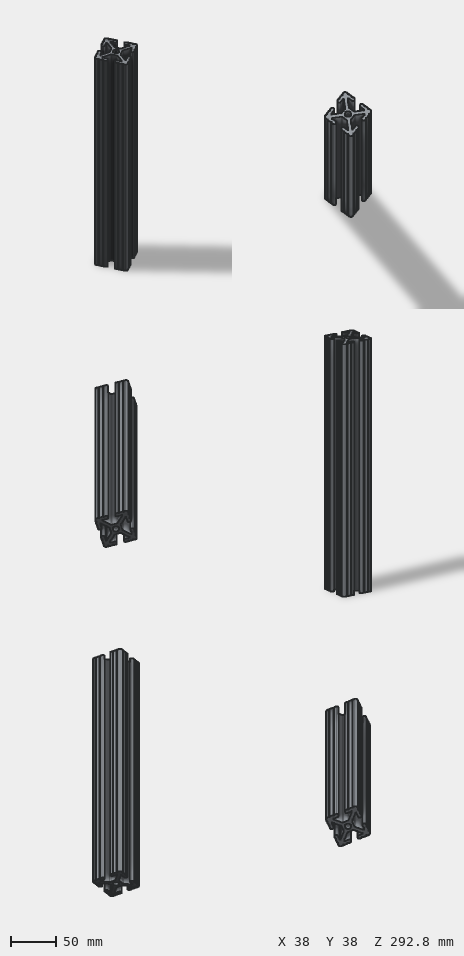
import cadquery as cq

length = 292.8
side = 38.0
half = side / 2
corner_radius = 2.5

bore_diameter = 6.7

slot_opening = 8.2
lip_thickness = 4.0
pocket_width = 22.2
core_width = 13.0
web_offset = 3.0
lip_radius = 1.8
core_radius = 1.8

groove_positions = (8.8, 14.0)
groove_width = 1.2
groove_depth = 1.0

opening_half = slot_opening / 2
pocket_half = pocket_width / 2
core_half = core_width / 2
lip_inner = half - lip_thickness


def extruded(outline):
    """Close an outline and extrude it over the full length."""
    return outline.close().extrude(length)


def four_sides(cutter):
    """Repeat a cutter made for the +Y side on all four sides."""
    return [cutter.rotate((0, 0, 0), (0, 0, 1), 90 * turn) for turn in range(4)]


def slot_cutter():
    """T-slot with an undercut pocket whose floor slopes along the diagonal webs."""
    right_side = [
        (core_half - web_offset, core_half),
        (pocket_half, pocket_half + web_offset),
        (pocket_half, lip_inner),
        (opening_half, lip_inner),
        (opening_half, half),
    ]
    left_side = [(-x, y) for x, y in reversed(right_side)]
    return extruded(cq.Workplane("XY").polyline(right_side + left_side))


def groove_cutter(position):
    """V-groove centred at the given X on the +Y face."""
    outline = cq.Workplane("XY").polyline([
        (position - groove_width / 2, half),
        (position, half - groove_depth),
        (position + groove_width / 2, half),
    ])
    return extruded(outline)


def edges_at(body, corner_x, corner_y):
    """Vertical edges at all eight symmetric copies of one section corner."""
    tolerance = 0.03

    def matches(edge):
        centre = edge.Center()
        places = sorted((abs(centre.x), abs(centre.y)))
        targets = sorted((corner_x, corner_y))
        return all(abs(a - b) < tolerance for a, b in zip(places, targets))

    return body.edges("|Z").filter(matches)


profile = cq.Workplane("XY").rect(side, side).extrude(length)
profile = profile.edges("|Z").fillet(corner_radius)
profile = profile.cut(cq.Workplane("XY").circle(bore_diameter / 2).extrude(length))

for slot in four_sides(slot_cutter()):
    profile = profile.cut(slot)

profile = edges_at(profile, opening_half, half).fillet(lip_radius)
profile = edges_at(profile, opening_half, lip_inner).fillet(lip_radius)
profile = edges_at(profile, core_half - web_offset, core_half).fillet(core_radius)

for distance in groove_positions:
    for position in (-distance, distance):
        for groove in four_sides(groove_cutter(position)):
            profile = profile.cut(groove)

result = profile